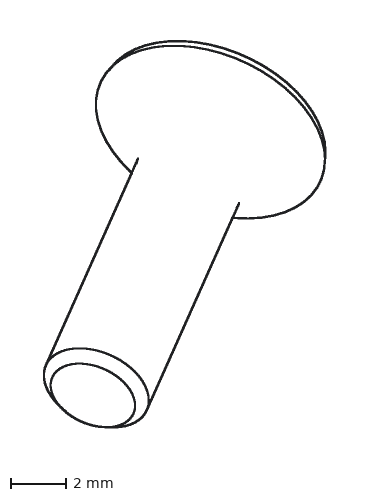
import cadquery as cq
import math

length = 14.0
shank_radius = 4.0 / 2
head_radius = 8.74 / 2
head_face_radius = 4.28
rim_height = 0.34
tip_chamfer = 0.39
neck_fillet = 0.5
cone_angle = math.radians(45)

cone_start_radius = shank_radius + neck_fillet * (1 - math.cos(cone_angle))
rim_y = length - rim_height
cone_start_y = rim_y - (head_radius - cone_start_radius) / math.tan(cone_angle)
shank_end_y = cone_start_y - neck_fillet * math.sin(cone_angle)
fillet_mid = (
    shank_radius + neck_fillet * (1 - math.cos(cone_angle / 2)),
    shank_end_y + neck_fillet * math.sin(cone_angle / 2),
)

profile = (
    cq.Workplane("XY")
    .lineTo(shank_radius - tip_chamfer, 0)
    .lineTo(shank_radius, tip_chamfer)
    .lineTo(shank_radius, shank_end_y)
    .threePointArc(fillet_mid, (cone_start_radius, cone_start_y))
    .lineTo(head_radius, rim_y)
    .lineTo(head_face_radius, length)
    .lineTo(0, length)
    .close()
)

result = profile.revolve(360, (0, 0, 0), (0, 1, 0))